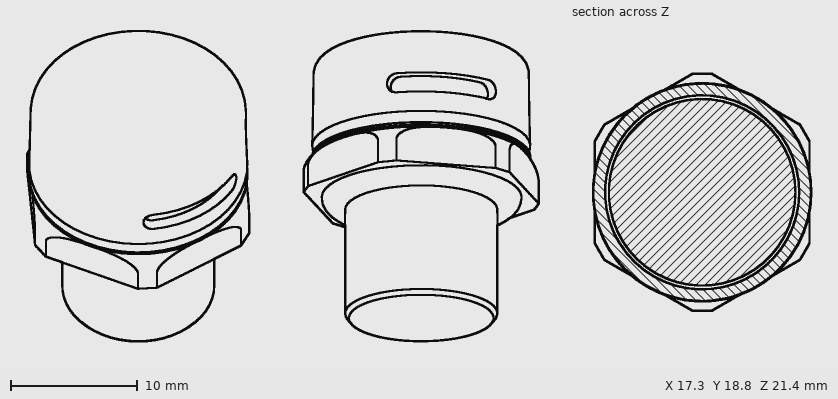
import cadquery as cq
import math

STEM_TOP = 9.03
HEX_BOTTOM = 10.03
HEX_TOP = 13.22
PLUG_TOP = 18.15
CAP_TOP = 21.35

STEM_RADIUS = 6.02
STEM_CHAMFER_HEIGHT = 0.38
STEM_CHAMFER_WIDTH = 0.3
COLLAR_RADIUS = 7.9
COLLAR_OFFSET_X = -0.13
HEX_ACROSS_FLATS = 17.0
HEX_ACROSS_CORNERS = 18.75
HEX_ROUNDING = 1.5
HEX_ROUNDING_OUTER_RADIUS = 9.42
PLUG_RADIUS = 7.39
PLUG_ROUNDING = 1.0

CAP_BOTTOM_RADIUS = 8.65
CAP_DRAFT = 1.0
CAP_ROUNDING = 1.0
BORE_RADIUS = 7.66
GROOVE_RADIUS = 0.47
GROOVE_HEIGHT = 13.9

SLOT_COUNT = 2
SLOT_WIDTH = 1.6
SLOT_HEIGHT = 16.8
SLOT_HALF_ANGLE = 30.9
SLOT_TURN = -0.8
SLOT_CUT_LENGTH = 12.8


def disc(radius, bottom, top):
    return cq.Workplane("XY").workplane(offset=bottom).circle(radius).extrude(top - bottom)


def make_stem():
    """Cylindrical stem with a chamfered lower edge."""
    stem = disc(STEM_RADIUS, 0, STEM_TOP)
    return stem.faces("<Z").chamfer(STEM_CHAMFER_HEIGHT, STEM_CHAMFER_WIDTH)


def make_collar():
    """Collar below the hexagon, its whole height rounded."""
    rounding = HEX_BOTTOM - STEM_TOP
    bottom_radius = COLLAR_RADIUS - rounding
    arc_offset = rounding * math.sin(math.radians(45))
    profile = (
        cq.Workplane("XZ")
        .moveTo(0, STEM_TOP)
        .lineTo(bottom_radius, STEM_TOP)
        .threePointArc(
            (bottom_radius + arc_offset, HEX_BOTTOM - arc_offset),
            (COLLAR_RADIUS, HEX_BOTTOM),
        )
        .lineTo(0, HEX_BOTTOM)
        .close()
    )
    collar = profile.revolve(360, (0, 0), (0, 1))
    return collar.translate((COLLAR_OFFSET_X, 0, 0))


def hex_prism(across_flats, turn):
    """Hexagonal prism with a corner on +X before it is turned by the angle in degrees."""
    corner_diameter = across_flats / math.cos(math.radians(30))
    prism = (
        cq.Workplane("XY")
        .workplane(offset=HEX_BOTTOM)
        .polygon(6, corner_diameter)
        .extrude(HEX_TOP - HEX_BOTTOM)
    )
    return prism.rotate((0, 0, 0), (0, 0, 1), turn)


def make_hexagon():
    """Hexagon with flats on +X and -X, flattened corners and a rounded top."""
    flats = hex_prism(HEX_ACROSS_FLATS, 30)
    corner_flats = hex_prism(HEX_ACROSS_CORNERS, 0)
    rounded_disc = disc(HEX_ROUNDING_OUTER_RADIUS, HEX_BOTTOM, HEX_TOP)
    rounded_disc = rounded_disc.faces(">Z").edges().fillet(HEX_ROUNDING)
    return flats.intersect(corner_flats).intersect(rounded_disc)


def make_plug():
    """Round-topped plug standing inside the bore of the cap."""
    return disc(PLUG_RADIUS, HEX_TOP, PLUG_TOP).faces(">Z").edges().fillet(PLUG_ROUNDING)


def make_fitting():
    return make_stem().union(make_collar()).union(make_hexagon()).union(make_plug())


def make_cap_shell():
    """Conical shell with a rounded top edge and a blind bore that ends on the plug top."""
    top_radius = CAP_BOTTOM_RADIUS - (CAP_TOP - HEX_TOP) * math.tan(math.radians(CAP_DRAFT))
    shell = (
        cq.Workplane("XZ")
        .moveTo(0, HEX_TOP)
        .lineTo(CAP_BOTTOM_RADIUS, HEX_TOP)
        .lineTo(top_radius, CAP_TOP)
        .lineTo(0, CAP_TOP)
        .close()
        .revolve(360, (0, 0), (0, 1))
    )
    shell = shell.faces(">Z").edges().fillet(CAP_ROUNDING)
    return shell.cut(disc(BORE_RADIUS, HEX_TOP, PLUG_TOP))


def make_groove():
    """Ring whose removal leaves a half-round groove around the cap."""
    section = cq.Workplane("XZ").center(CAP_BOTTOM_RADIUS, GROOVE_HEIGHT).circle(GROOVE_RADIUS)
    return section.revolve(360, (-CAP_BOTTOM_RADIUS, 0), (-CAP_BOTTOM_RADIUS, 1))


def make_slot_cutter(middle_angle):
    """Wedge with half-round sides; the end walls of the slot are tangent to radial planes."""
    half_angle = math.radians(SLOT_HALF_ANGLE)
    end_radius = SLOT_WIDTH / 2
    tip_x = end_radius / math.sin(half_angle)
    far_x = tip_x + SLOT_CUT_LENGTH * math.cos(half_angle)
    far_y = SLOT_CUT_LENGTH * math.sin(half_angle)
    cutter = (
        cq.Workplane("XY")
        .workplane(offset=SLOT_HEIGHT - end_radius)
        .polyline([(tip_x, 0), (far_x, -far_y), (far_x, far_y)])
        .close()
        .extrude(SLOT_WIDTH)
    )
    tip = cq.Vector(tip_x, 0, SLOT_HEIGHT)
    for side in (-1, 1):
        direction = cq.Vector(math.cos(half_angle), side * math.sin(half_angle), 0)
        cutter = cutter.union(cq.Solid.makeCylinder(end_radius, SLOT_CUT_LENGTH, tip, direction))
    return cutter.rotate((0, 0, 0), (0, 0, 1), middle_angle)


def make_cap():
    cap = make_cap_shell().cut(make_groove())
    for index in range(SLOT_COUNT):
        cap = cap.cut(make_slot_cutter(SLOT_TURN + index * 360 / SLOT_COUNT))
    return cap


fitting = make_fitting()
cap = make_cap()
result = cq.Compound.makeCompound([fitting.val(), cap.val()])